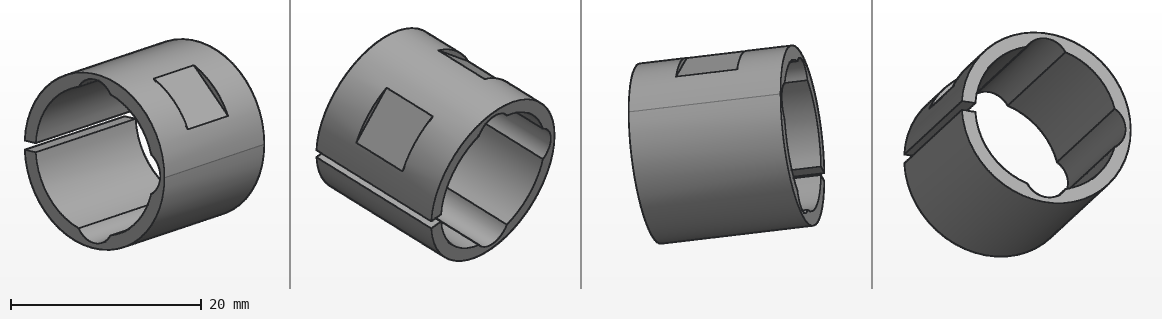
import cadquery as cq
import math

outer_radius = 9.52
bore_radius = 8.0
length = 16.4
slot_width = 1.0

groove_floor_radius = 8.93
groove_arc_radius = 2.5
groove_angles = (0, 90, 270)

flat_length = 6.6
flat_distance = 8.93
flat_angles = (45, 135)


def cylinder_along_y(radius, x=0, z=0):
    """Full-length cylinder with its axis along Y at the given X and Z."""
    base = cq.Workplane("XZ", origin=(x, length / 2, z))
    return base.circle(radius).extrude(length)


def make_bore():
    """Cutter for the bore and its grooves."""
    bore = cylinder_along_y(bore_radius)
    groove_offset = groove_floor_radius - groove_arc_radius
    for angle in groove_angles:
        x = groove_offset * math.cos(math.radians(angle))
        z = groove_offset * math.sin(math.radians(angle))
        bore = bore.union(cylinder_along_y(groove_arc_radius, x, z))
    return bore


def make_slot():
    """Cutter that splits the wall on the -X side."""
    return cq.Workplane("XY").box(outer_radius, length, slot_width).translate((-outer_radius, 0, 0))


def make_flat(angle):
    """Cutter that leaves a flat face square to the given direction from +X toward +Z."""
    block = cq.Workplane("XY").box(outer_radius, flat_length, 2 * outer_radius)
    block = block.translate((flat_distance + outer_radius / 2, 0, 0))
    return block.rotate((0, 0, 0), (0, 1, 0), -angle)


result = cylinder_along_y(outer_radius).cut(make_bore()).cut(make_slot())
for flat_angle in flat_angles:
    result = result.cut(make_flat(flat_angle))